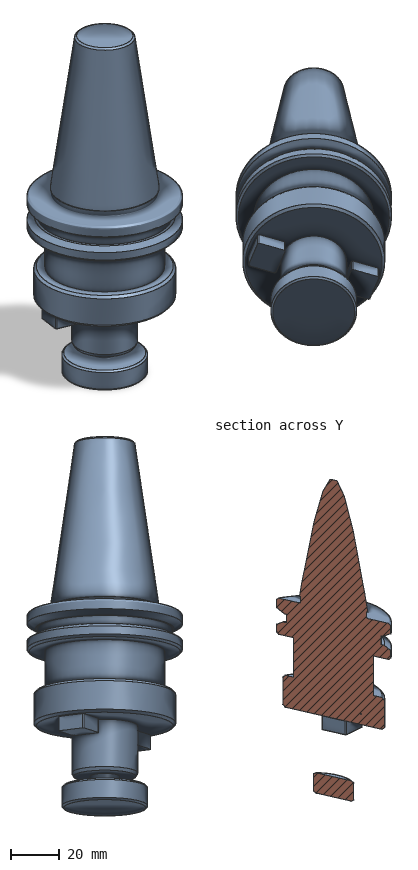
import cadquery as cq
import math

total_height = 152.4
screw_head_top = 9.0
screw_neck_top = 13.1
collar_bottom = 34.1
collar_top = 48.2
flange_bottom = 65.0
groove_bottom = 71.0
groove_top = 74.5
flange_top = 81.0
gauge_land_bottom = 83.5
gauge_line = 83.8

screw_head_diameter = 35.0
screw_neck_diameter = 12.2
pilot_diameter = 27.0
collar_diameter = 58.0
body_diameter = 49.0
flange_diameter = 63.5
groove_diameter = 55.2
undercut_diameter = 43.6
gauge_diameter = 44.5

taper_ratio = 7 / 24
taper_tip_chamfer = 0.8
screw_head_chamfer = 0.8
pilot_chamfer_height = 1.4
pilot_chamfer_width = 0.8
collar_chamfer = 1.0
flange_bottom_chamfer = 0.9
flange_top_chamfer = 0.9
flange_top_fillet = 0.6
root_fillet = 0.5
groove_flank_angle = 30.0
lower_flank_height = 1.7
upper_flank_height = 2.0

key_width = 12.2
key_height = 6.0
key_inner_radius = 14.3
key_outer_radius = 26.2
key_corner_chamfer = 0.5


def disc(diameter, bottom, top):
    """Solid cylinder on the spindle axis between two heights."""
    return cq.Workplane("XY").workplane(offset=bottom).circle(diameter / 2).extrude(top - bottom)


def root_ring(diameter, bottom):
    """Concave fillet ring around the foot of a cylinder standing on a flat face."""
    radius = diameter / 2
    arc_offset = root_fillet * (1 - math.sqrt(0.5))
    return (
        cq.Workplane("XZ")
        .moveTo(0, bottom)
        .lineTo(radius + root_fillet, bottom)
        .threePointArc((radius + arc_offset, bottom + arc_offset), (radius, bottom + root_fillet))
        .lineTo(0, bottom + root_fillet)
        .close()
        .revolve(360, (0, 0, 0), (0, 1, 0))
    )


def clamping_screw():
    head = disc(screw_head_diameter, 0, screw_head_top).edges().chamfer(screw_head_chamfer)
    neck = disc(screw_neck_diameter, screw_head_top, screw_neck_top)
    return head.union(neck).union(root_ring(screw_neck_diameter, screw_head_top))


def pilot():
    cylinder = disc(pilot_diameter, screw_neck_top, collar_bottom)
    return cylinder.faces("<Z").chamfer(pilot_chamfer_height, pilot_chamfer_width)


def collar():
    return disc(collar_diameter, collar_bottom, collar_top).edges().chamfer(collar_chamfer)


def flange():
    """Gripper flange with a groove whose flanks slope towards the axis."""
    outer = flange_diameter / 2
    inner = groove_diameter / 2
    flank_run = 1 / math.tan(math.radians(groove_flank_angle))
    profile = [
        (0, flange_bottom),
        (outer - flange_bottom_chamfer, flange_bottom),
        (outer, flange_bottom + flange_bottom_chamfer),
        (outer, groove_bottom - lower_flank_height),
        (outer - lower_flank_height * flank_run, groove_bottom),
        (inner, groove_bottom),
        (inner, groove_top),
        (outer - upper_flank_height * flank_run, groove_top),
        (outer, groove_top + upper_flank_height),
        (outer, flange_top - flange_top_chamfer),
        (outer - flange_top_chamfer, flange_top),
        (0, flange_top),
    ]
    body = cq.Workplane("XZ").polyline(profile).close().revolve(360, (0, 0, 0), (0, 1, 0))
    chamfer_zone = cq.selectors.BoxSelector(
        (-outer, -outer, flange_top - flange_top_chamfer - flange_top_fillet),
        (outer, outer, flange_top + flange_top_fillet),
    )
    return body.edges("%CIRCLE").edges(chamfer_zone).fillet(flange_top_fillet)


def taper_shank():
    """Steep taper above a short cylindrical land at the gauge diameter."""
    taper_length = total_height - gauge_line
    gauge_radius = gauge_diameter / 2
    tip_radius = gauge_radius - taper_length * taper_ratio / 2
    profile = [
        (0, gauge_land_bottom),
        (gauge_radius, gauge_land_bottom),
        (gauge_radius, gauge_line),
        (tip_radius, total_height),
        (0, total_height),
    ]
    cone = cq.Workplane("XZ").polyline(profile).close().revolve(360, (0, 0, 0), (0, 1, 0))
    return cone.faces(">Z").chamfer(taper_tip_chamfer)


def drive_key(side):
    """Drive key on the +Y (side = 1) or -Y (side = -1) half of the collar face."""
    key_center = side * (key_inner_radius + key_outer_radius) / 2
    key_length = key_outer_radius - key_inner_radius
    return (
        cq.Workplane("XY")
        .workplane(offset=collar_bottom - key_height)
        .center(0, key_center)
        .rect(key_width, key_length)
        .extrude(key_height)
        .edges("|Z")
        .chamfer(key_corner_chamfer)
    )


result = (
    clamping_screw()
    .union(pilot())
    .union(collar())
    .union(disc(body_diameter, collar_top, flange_bottom))
    .union(flange())
    .union(disc(undercut_diameter, flange_top, gauge_land_bottom))
    .union(root_ring(undercut_diameter, flange_top))
    .union(taper_shank())
)
for side in (1, -1):
    result = result.union(drive_key(side))